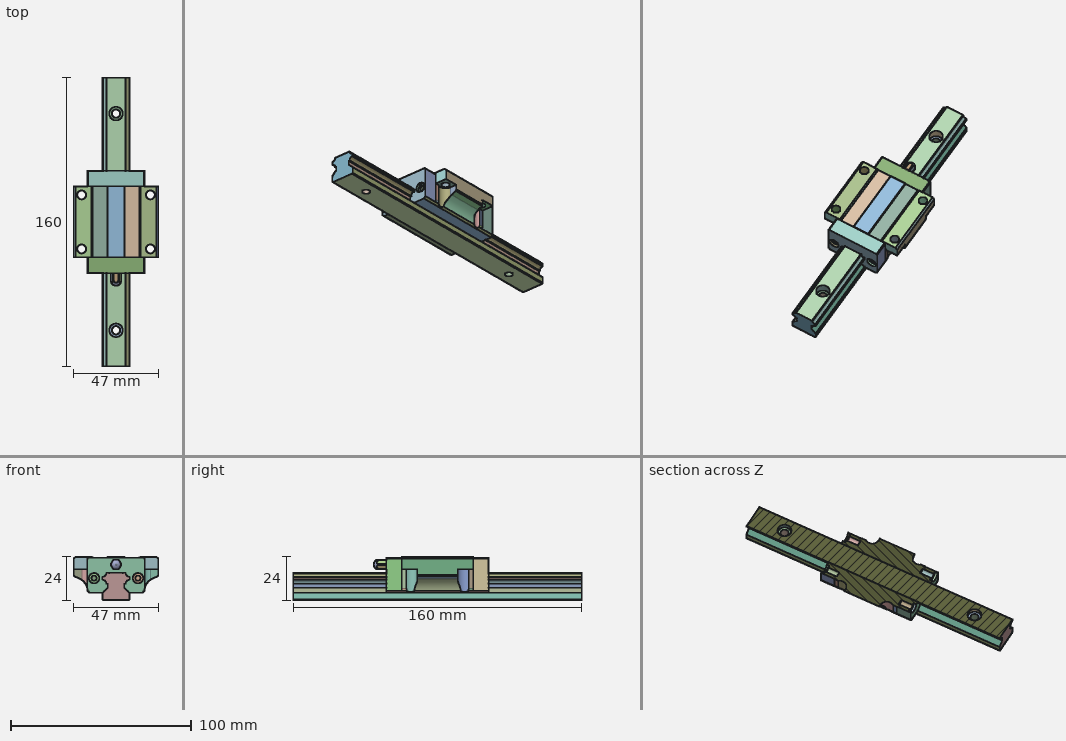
import cadquery as cq
import math

RAIL_LENGTH = 160.0
RAIL_HALF_WIDTH = 7.5
RAIL_HEIGHT = 15.0
RAIL_TOP_HALF_WIDTH = 5.5
RAIL_WAIST_HALF_WIDTH = 4.6
RAIL_FOOT_HEIGHT = 4.0
RAIL_WAIST_BOTTOM = 6.7
RAIL_WAIST_TOP = 9.1
RAIL_CREST_BOTTOM = 11.5
RAIL_CREST_TOP = 12.6
RAIL_GROOVE_RADIUS = 2.0
RAIL_EDGE_CHAMFER = 0.3
RAIL_FOOT_CHAMFER = 0.5
RAIL_HOLE_SPACING = 120.0
RAIL_HOLE_DIAMETER = 4.5
RAIL_BORE_DIAMETER = 7.5
RAIL_BORE_DEPTH = 5.3

TOP_HEIGHT = 24.0
BOTTOM_HEIGHT = RAIL_FOOT_HEIGHT
BLOCK_LENGTH = 39.4
FLANGE_HALF_WIDTH = 23.5
FLANGE_CHAMFER = 1.1
FLANGE_SIDE_BOTTOM = 14.0
FLANGE_EDGE_INSET = 0.3
BLOCK_FOOT_HALF_WIDTH = 15.8
FLANK_RADIUS = 7.4
FLANK_SLOPE_ANGLE = 24.0
BOTTOM_CHAMFER = 1.1

TOP_RELIEF_DEPTH = 0.5
TOP_RELIEF_INNER = 5.0
TOP_RELIEF_OUTER = 13.8
TOP_RELIEF_OUTER_SLOPE = 1.0
TOP_RELIEF_INNER_SLOPE = 0.3

MOUNT_SPACING_X = 38.0
MOUNT_SPACING_Y = 30.0
MOUNT_HOLE_DIAMETER = 4.8
NUT_POCKET_RADIUS = 3.8
NUT_POCKET_TOP = 17.0
POCKET_WALL_HALF_WIDTH = 16.0

CAP_HALF_WIDTH = 15.8
CAP_LENGTH = 8.6
CAP_TOP_HEIGHT = 23.4
CAP_TOP_CHAMFER = 0.5
SCREW_SPACING = 24.3
SCREW_HEIGHT = 12.2
SCREW_BORE_DIAMETER = 5.8
SCREW_BORE_DEPTH = 1.6
SCREW_HOLE_DIAMETER = 2.9

NIPPLE_HEIGHT = 19.7
NIPPLE_ACROSS_FLATS = 5.3
NIPPLE_DIAMETER = 5.8
NIPPLE_LENGTH = 7.0
NIPPLE_TIP_RADIUS = 0.3

CARRIAGE_LENGTH = BLOCK_LENGTH + 2 * CAP_LENGTH


def extrude_along_y(outline, length):
    """Extrude an XZ outline symmetrically about Y = 0."""
    return outline.extrude(length / 2, both=True)


def rail_bar():
    """Rail section swept over its length, without screw holes."""
    crest_edge = RAIL_HALF_WIDTH - RAIL_EDGE_CHAMFER
    half = (
        cq.Workplane("XZ")
        .moveTo(0, 0)
        .lineTo(RAIL_HALF_WIDTH - RAIL_FOOT_CHAMFER, 0)
        .lineTo(RAIL_HALF_WIDTH, RAIL_FOOT_CHAMFER)
        .lineTo(RAIL_HALF_WIDTH, RAIL_FOOT_HEIGHT)
        .lineTo(RAIL_WAIST_HALF_WIDTH, RAIL_WAIST_BOTTOM)
        .lineTo(RAIL_WAIST_HALF_WIDTH, RAIL_WAIST_TOP)
        .lineTo(RAIL_TOP_HALF_WIDTH, RAIL_WAIST_TOP)
        .lineTo(RAIL_TOP_HALF_WIDTH, RAIL_WAIST_TOP + RAIL_EDGE_CHAMFER)
        .radiusArc((crest_edge, RAIL_CREST_BOTTOM - RAIL_EDGE_CHAMFER), RAIL_GROOVE_RADIUS)
        .lineTo(RAIL_HALF_WIDTH, RAIL_CREST_BOTTOM)
        .lineTo(RAIL_HALF_WIDTH, RAIL_CREST_TOP)
        .lineTo(crest_edge, RAIL_CREST_TOP + RAIL_EDGE_CHAMFER)
        .radiusArc((RAIL_TOP_HALF_WIDTH, RAIL_HEIGHT - RAIL_EDGE_CHAMFER), RAIL_GROOVE_RADIUS)
        .lineTo(RAIL_TOP_HALF_WIDTH - RAIL_EDGE_CHAMFER, RAIL_HEIGHT)
        .lineTo(0, RAIL_HEIGHT)
        .close()
    )
    half_bar = extrude_along_y(half, RAIL_LENGTH)
    return half_bar.union(half_bar.mirror("YZ")).clean()


def make_rail():
    return (
        rail_bar()
        .faces(">Z")
        .workplane(origin=(0, 0, RAIL_HEIGHT))
        .rarray(1.6, RAIL_HOLE_SPACING, 1, 2)
        .cboreHole(RAIL_HOLE_DIAMETER, RAIL_BORE_DIAMETER, RAIL_BORE_DEPTH)
    )


def block_body():
    """Flanged block with relieved top and concave flanks."""
    relief_floor = TOP_HEIGHT - TOP_RELIEF_DEPTH
    slope = math.radians(FLANK_SLOPE_ANGLE)
    flank_center = BLOCK_FOOT_HALF_WIDTH + FLANK_RADIUS
    flank_bottom = BOTTOM_HEIGHT + BOTTOM_CHAMFER
    flank_top = (
        flank_center - FLANK_RADIUS * math.sin(slope),
        flank_bottom + FLANK_RADIUS * math.cos(slope),
    )
    edge_half_width = FLANGE_HALF_WIDTH - FLANGE_EDGE_INSET
    edge_bottom = flank_top[1] + (edge_half_width - flank_top[0]) * math.tan(slope)
    half = (
        cq.Workplane("XZ")
        .moveTo(0, BOTTOM_HEIGHT)
        .lineTo(BLOCK_FOOT_HALF_WIDTH - BOTTOM_CHAMFER, BOTTOM_HEIGHT)
        .lineTo(BLOCK_FOOT_HALF_WIDTH, flank_bottom)
        .radiusArc(flank_top, FLANK_RADIUS)
        .lineTo(edge_half_width, edge_bottom)
        .lineTo(FLANGE_HALF_WIDTH, FLANGE_SIDE_BOTTOM)
        .lineTo(FLANGE_HALF_WIDTH, TOP_HEIGHT - FLANGE_CHAMFER)
        .lineTo(FLANGE_HALF_WIDTH - FLANGE_CHAMFER, TOP_HEIGHT)
        .lineTo(TOP_RELIEF_OUTER, TOP_HEIGHT)
        .lineTo(TOP_RELIEF_OUTER - TOP_RELIEF_OUTER_SLOPE, relief_floor)
        .lineTo(TOP_RELIEF_INNER, relief_floor)
        .lineTo(TOP_RELIEF_INNER - TOP_RELIEF_INNER_SLOPE, TOP_HEIGHT)
        .lineTo(0, TOP_HEIGHT)
        .close()
    )
    half_block = extrude_along_y(half, BLOCK_LENGTH)
    return half_block.union(half_block.mirror("YZ")).clean()


def nut_pocket(side, end):
    """Space below a flange hole, open to the flange side and the block end."""
    x = side * MOUNT_SPACING_X / 2
    y = end * MOUNT_SPACING_Y / 2
    round_end = cq.Workplane("XY").center(x, y).circle(NUT_POCKET_RADIUS).extrude(NUT_POCKET_TOP)
    wall = side * POCKET_WALL_HALF_WIDTH
    side_edge = side * (FLANGE_HALF_WIDTH + 1.6)
    pocket_edge = y - end * NUT_POCKET_RADIUS
    block_end = end * BLOCK_LENGTH / 2
    outward = (
        cq.Workplane("XY")
        .polyline([(x, pocket_edge), (side_edge, pocket_edge), (side_edge, y), (x, y)])
        .close()
        .extrude(NUT_POCKET_TOP)
    )
    endward = (
        cq.Workplane("XY")
        .polyline([(wall, y), (side_edge, y), (side_edge, block_end), (wall, block_end)])
        .close()
        .extrude(NUT_POCKET_TOP)
    )
    return round_end.union(outward).union(endward)


def make_block():
    block = block_body()
    for side in (-1, 1):
        for end in (-1, 1):
            block = block.cut(nut_pocket(side, end))
    mount_holes = (
        cq.Workplane("XY")
        .rarray(MOUNT_SPACING_X, MOUNT_SPACING_Y, 2, 2)
        .circle(MOUNT_HOLE_DIAMETER / 2)
        .extrude(TOP_HEIGHT)
    )
    return block.cut(mount_holes)


def make_end_cap(end):
    """End cap at the -Y (end = -1) or +Y (end = 1) side of the block."""
    cap_height = CAP_TOP_HEIGHT - BOTTOM_HEIGHT
    cap = (
        cq.Workplane("XY")
        .box(2 * CAP_HALF_WIDTH, CAP_LENGTH, cap_height)
        .edges("|Y and >Z")
        .chamfer(CAP_TOP_CHAMFER)
        .edges("|Y and <Z")
        .chamfer(BOTTOM_CHAMFER)
        .translate((0, end * (BLOCK_LENGTH + CAP_LENGTH) / 2, BOTTOM_HEIGHT + cap_height / 2))
    )
    outer_face = cq.Plane(
        origin=(0, end * CARRIAGE_LENGTH / 2, SCREW_HEIGHT), xDir=(1, 0, 0), normal=(0, end, 0)
    )
    screw_places = cq.Workplane(outer_face).rarray(SCREW_SPACING, 1.6, 2, 1)
    bores = screw_places.circle(SCREW_BORE_DIAMETER / 2).extrude(-SCREW_BORE_DEPTH)
    holes = screw_places.circle(SCREW_HOLE_DIAMETER / 2).extrude(-CAP_LENGTH)
    return cap.cut(bores).cut(holes)


def make_carriage():
    """Block with both end caps, fitted closely around the rail."""
    carriage = make_block()
    for end in (-1, 1):
        carriage = carriage.union(make_end_cap(end))
    return carriage.cut(rail_bar())


def make_nipple():
    """Hexagonal grease nipple with a round tip, standing on the -Y end cap."""
    across_corners = NIPPLE_ACROSS_FLATS / math.cos(math.pi / 6)
    radius = NIPPLE_DIAMETER / 2
    base = -CARRIAGE_LENGTH / 2
    tip = base - NIPPLE_LENGTH
    dome_center = tip + math.sqrt(radius**2 - NIPPLE_TIP_RADIUS**2)
    domed_rod = (
        cq.Workplane("XY")
        .moveTo(0, base)
        .lineTo(radius, base)
        .lineTo(radius, dome_center)
        .radiusArc((NIPPLE_TIP_RADIUS, tip), radius)
        .lineTo(0, tip)
        .close()
        .revolve(360, (0, 0, 0), (0, 1, 0))
    )
    hexagon = (
        cq.Workplane("XZ", origin=(0, base, 0))
        .polygon(6, across_corners)
        .extrude(NIPPLE_LENGTH)
    )
    return domed_rod.intersect(hexagon).translate((0, 0, NIPPLE_HEIGHT))


rail = make_rail()
carriage = make_carriage()
nipple = make_nipple()
result = cq.Compound.makeCompound([rail.val(), carriage.val(), nipple.val()])